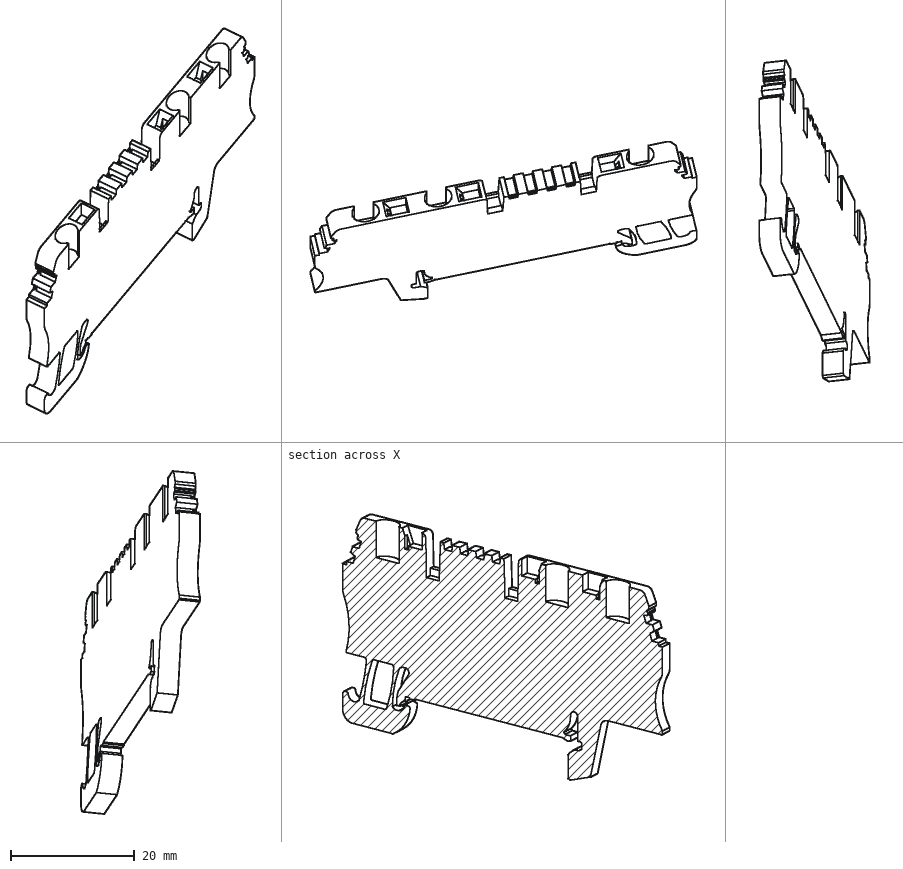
import cadquery as cq
import math

LENGTH = 63.15
HEIGHT = 36.25
THICK = 3.5

BODY_DEPTH = 24.25
SEAT_DEPTH = 29.25
OVERLAP = 0.6

COMB_CENTRE = 37.55
COMB_DROP = 0.75
COMB_HALF_TOP = 6.3
COMB_HALF_BASE = 6.5
TOOTH_PITCH = 3.15
VALLEY_COUNT = 4
VALLEY_DEPTH = 1.8
VALLEY_TOP = 1.65
VALLEY_BASE = 1.3
SLOT_DEPTH = 6.25
SLOT_HALF_BASE = 8.95
SLOT_HALF_TOP = 9.1
SLOT_ROUND = 0.8
SLOT_PIT_LEFT = 0.95
SLOT_PIT_RIGHT = 0.4
SLOT_PIT_DEPTH = 1.25

GROOVE_WALL = 0.2
GROOVE_WIDTH = 0.4
GROOVE_DEPTH = 0.3

OPENING_CENTRES = (8.85, 20.85, 54.25)
OPENING_X = 2.0
OPENING_RADIUS_X = 1.65
OPENING_RADIUS_Y = 2.2
OPENING_GAP = 3.2
OPENING_WALL = 0.4
OPENING_DEPTH = 6.3

POCKETS = ((11.95, 1), (23.9, 1), (51.3, -1))
POCKET_LENGTH = 3.8
POCKET_LEFT = 0.55
POCKET_RIGHT = 0.4
POCKET_DEPTH = 2.9
RAMP_RUN = 1.15
NOTCH_START = 0.5
NOTCH_EXTRA = 0.6
NOTCH_WIDTH = 0.9
NOTCH_X = 1.9


def place(point):
    """Turn (s, d) into the (Y, Z) coordinates of the YZ plane."""
    s, d = point
    return (LENGTH / 2 - s, HEIGHT - d)


def plate(path, x_start=0.0, x_end=THICK):
    """Extrude a closed path in X. A path step is a point, or the (middle, end) of an arc."""
    wire = cq.Workplane("YZ").workplane(offset=x_start - THICK / 2).moveTo(*place(path[0]))
    for step in path[1:]:
        if isinstance(step[0], tuple):
            middle, end = step
            wire = wire.threePointArc(place(middle), place(end))
        else:
            wire = wire.lineTo(*place(step))
    return wire.close().extrude(x_end - x_start)


def far_end(step):
    """Mirror a path step to the -Y end."""
    if isinstance(step[0], tuple):
        return tuple(far_end(point) for point in step)
    return (LENGTH - step[0], step[1])


def box(x_range, s_range, d_range):
    """Block with its X range measured from the -X side."""
    (s0, s1), (d0, d1) = s_range, d_range
    return plate([(s0, d0), (s1, d0), (s1, d1), (s0, d1)], *x_range)


UPPER_ROOT = [(3.65, 4.3), (3.2, 5.5)]
LOWER_ROOT = [(2.45, 7.15), (2.1, 8.35)]
NOTCH_ROOTS = (UPPER_ROOT, LOWER_ROOT)
SHOULDER = [
    (3.5, 0.55), (2.65, 2.45), (2.65, 2.95), (3.1, 3.35), (2.9, 3.65), (2.9, 4.0), (3.1, 4.15),
    *UPPER_ROOT, (1.95, 5.5), (1.6, 6.55), *LOWER_ROOT, (0.75, 8.35), (0.75, 8.9), (0.0, 8.9),
]
SHOULDER_TOP = (4.4, 0.0)
SHOULDER_ROUND = (3.85, 0.2)


def housing():
    """Main plate: top face, both shoulders and the concave finger grips below them."""
    near = [SHOULDER_TOP, (SHOULDER_ROUND, SHOULDER[0])] + SHOULDER[1:]
    near_grip = [
        (0.0, 13.45), ((0.05, 13.8), (0.2, 14.2)), ((1.4, 18.75), (0.0, 23.5)),
        (0.0, 24.05), (0.2, BODY_DEPTH),
    ]
    far_grip = [
        (62.2, BODY_DEPTH), ((62.4, 24.2), (62.45, 24.0)), (62.4, 23.6),
        ((61.9, 19.7), (62.95, 14.3)), ((63.1, 13.9), (63.15, 13.5)),
    ]
    far = [far_end(point) for point in reversed(SHOULDER)]
    far_top = (far_end(SHOULDER_ROUND), far_end(SHOULDER_TOP))
    return plate(near + near_grip + far_grip + far + [far_top])


def underside():
    """Rail side: rigid foot at +Y, seat with two hooks, and flexible foot at -Y."""
    fixed_foot = [
        (10.75, BODY_DEPTH - OVERLAP), (10.75, BODY_DEPTH), ((11.6, 24.5), (12.1, 25.2)),
        (14.2, 34.8), (18.2, HEIGHT), (18.7, 36.05), (18.7, 31.95),
        ((18.1, 31.25), (17.5, 30.8)), (16.85, 30.7), ((16.2, 30.5), (16.0, 30.05)),
        (16.0, 29.5), ((16.1, 29.25), (16.35, 29.2)), (16.8, 29.2), (16.8, 24.95),
        ((17.5, BODY_DEPTH), (18.1, 24.95)),
    ]
    rail_seat = [
        ((18.45, 26.7), (19.45, 28.15)), (19.2, 28.5), (18.1, 28.5), (18.1, 29.4),
        (18.75, 29.6), (19.8, SEAT_DEPTH), (48.75, SEAT_DEPTH), (48.9, 29.4), (49.8, 29.4),
        (50.0, SEAT_DEPTH), (50.7, SEAT_DEPTH), (50.7, 30.05), ((51.45, 30.4), (51.85, 31.1)),
        (52.5, 31.1), (52.5, 30.3), ((52.4, 29.35), (52.15, 28.5)), (50.2, 25.3),
        ((50.15, 24.6), (50.7, BODY_DEPTH)),
    ]
    spring_foot = [
        (51.35, BODY_DEPTH), ((51.7, 24.45), (51.95, 24.8)), ((52.9, 28.1), (53.2, 31.45)),
        ((52.9, 31.75), (52.55, 31.9)), (51.95, 31.9), ((51.35, 31.5), (50.95, 30.9)),
        ((50.75, 30.55), (50.45, 30.55)), (50.0, 30.7), ((49.8, 30.8), (49.75, 31.05)),
        ((50.75, 34.0), (53.2, HEIGHT)), (61.2, HEIGHT), ((62.6, 35.6), (63.15, 34.3)),
        (63.15, 31.65), ((62.95, 31.1), (62.45, 30.95)), ((62.1, 31.0), (61.95, 31.25)),
        ((61.6, 32.0), (60.9, 32.3)), (60.6, 32.3), ((60.05, 32.0), (59.8, 31.45)),
        ((58.9, 27.8), (58.45, 24.8)), ((58.6, 24.4), (58.85, BODY_DEPTH)),
        (58.85, BODY_DEPTH - OVERLAP),
    ]
    return plate(fixed_foot + rail_seat + spring_foot)


def spring_window():
    """Opening between the two flexible arms of the spring foot."""
    return plate([
        (53.35, BODY_DEPTH), (56.95, BODY_DEPTH), ((57.15, 24.3), (57.25, 24.55)),
        ((58.3, 28.1), (58.9, 31.9)), ((58.85, 32.2), (58.6, 32.25)), (54.8, 32.25),
        ((54.55, 32.15), (54.4, 31.9)), ((53.35, 27.4), (53.1, 24.8)),
        (53.1, 24.5),
    ])


def shoulder_grooves():
    """Narrow grooves in the sloping root face of each shoulder notch, at both ends."""
    x_range = (GROOVE_WALL, GROOVE_WALL + GROOVE_WIDTH)
    cuts = cq.Workplane("YZ")
    for upper, lower in NOTCH_ROOTS:
        groove = [upper, lower] + [(s + GROOVE_DEPTH, d) for s, d in (lower, upper)]
        cuts = cuts.add(plate(groove, *x_range))
        cuts = cuts.add(plate([far_end(point) for point in groove], *x_range))
    return cuts.combine()


def comb_valleys():
    """Space above the tooth tips, the valleys between the teeth and their grooves."""
    comb_ends = (COMB_CENTRE - COMB_HALF_BASE, COMB_CENTRE + COMB_HALF_BASE)
    cuts = box((0, THICK), comb_ends, (0, COMB_DROP))
    for index in range(VALLEY_COUNT):
        centre = COMB_CENTRE + (index - (VALLEY_COUNT - 1) / 2) * TOOTH_PITCH
        half_top, half_base = VALLEY_TOP / 2, VALLEY_BASE / 2
        cuts = cuts.union(plate([
            (centre - half_top, COMB_DROP), (centre + half_top, COMB_DROP),
            (centre + half_base, VALLEY_DEPTH), (centre - half_base, VALLEY_DEPTH),
        ]))
        cuts = cuts.union(box(
            (GROOVE_WALL, GROOVE_WALL + GROOVE_WIDTH),
            (centre - half_base, centre + half_base),
            (COMB_DROP, VALLEY_DEPTH + GROOVE_DEPTH),
        ))
    return cuts


def comb_slot(side):
    """Slot beside the comb, with a pit in its floor; side is -1 or +1 along s."""
    def out(distance, depth):
        return (COMB_CENTRE + side * distance, depth)

    bend = SLOT_ROUND * (1 - math.sqrt(0.5))
    slot = plate([
        out(COMB_HALF_TOP, 0), out(COMB_HALF_TOP, COMB_DROP), out(COMB_HALF_BASE, SLOT_DEPTH),
        out(SLOT_HALF_BASE, SLOT_DEPTH), out(SLOT_HALF_TOP, SLOT_ROUND),
        (out(SLOT_HALF_TOP + bend, bend), out(SLOT_HALF_TOP + SLOT_ROUND, 0)),
    ])
    ends = sorted(COMB_CENTRE + side * distance for distance in (COMB_HALF_BASE, SLOT_HALF_BASE))
    pit = box((SLOT_PIT_LEFT, THICK - SLOT_PIT_RIGHT), ends, (SLOT_DEPTH, SLOT_DEPTH + SLOT_PIT_DEPTH))
    return slot.union(pit)


def screwdriver_opening(s):
    """Oval bore from the top face, open through the +X wall."""
    bore = (
        cq.Workplane("XY", origin=(OPENING_X - THICK / 2, LENGTH / 2 - s, HEIGHT))
        .ellipse(OPENING_RADIUS_X, OPENING_RADIUS_Y)
        .extrude(-OPENING_DEPTH)
    )
    gap = box(
        (THICK - OPENING_WALL, THICK),
        (s - OPENING_GAP / 2, s + OPENING_GAP / 2),
        (0, OPENING_DEPTH),
    )
    return bore.union(gap)


def wire_pocket(s, direction):
    """Rectangular pocket with a ramp at its s end and a notch at the foot of the ramp."""
    def along(distance):
        return s + direction * distance

    pocket = plate([
        (along(0), 0), (along(POCKET_LENGTH), 0), (along(POCKET_LENGTH), POCKET_DEPTH),
        (along(RAMP_RUN), POCKET_DEPTH),
    ], POCKET_LEFT, THICK - POCKET_RIGHT)
    notch = box(
        (NOTCH_X - NOTCH_WIDTH / 2, NOTCH_X + NOTCH_WIDTH / 2),
        (along(NOTCH_START), along(RAMP_RUN)),
        (0, POCKET_DEPTH + NOTCH_EXTRA),
    )
    return pocket.union(notch)


result = housing().union(underside()).cut(spring_window())
result = result.cut(comb_valleys()).cut(shoulder_grooves())
for slot_side in (-1, 1):
    result = result.cut(comb_slot(slot_side))
for opening_s in OPENING_CENTRES:
    result = result.cut(screwdriver_opening(opening_s))
for pocket_s, pocket_direction in POCKETS:
    result = result.cut(wire_pocket(pocket_s, pocket_direction))